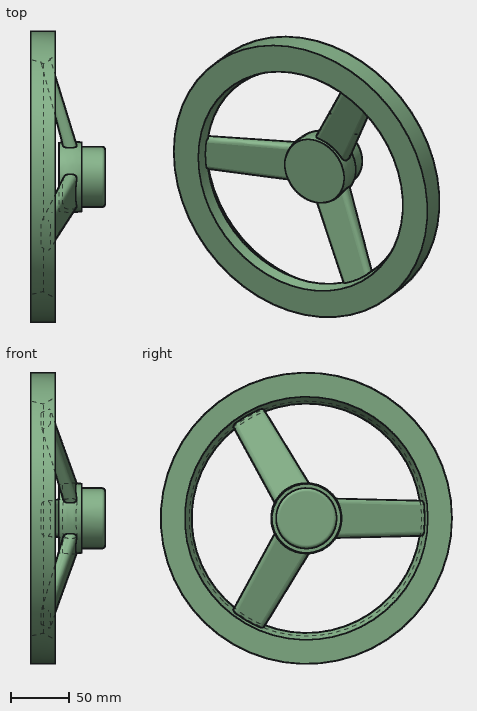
import cadquery as cq

rim_diameter = 250.0
rim_width = 21.2
rim_front_bore_diameter = 201.5
rim_rear_bore_diameter = 208.5
rim_throat_diameter = 196.5

hub_front = 24.2
hub_step = 44.0
hub_end = 64.0
hub_front_diameter = 58.5
hub_middle_diameter = 60.8
hub_rear_diameter = 59.2
boss_diameter = 52.0
boss_edge_radius = 3.0

spoke_count = 3
spoke_root_radius = 15.0
spoke_tip_radius = 105.0
spoke_root_center = 37.0
spoke_tip_center = 11.2
spoke_root_width = 34.5
spoke_tip_width = 30.0
spoke_root_thickness = 12.5
spoke_tip_thickness = 8.5
spoke_edge_radius = 4.0


def make_rim():
    """Ring whose bore narrows from both faces to the middle."""
    outer = rim_diameter / 2
    profile = [
        (0, rim_front_bore_diameter / 2),
        (0, outer),
        (rim_width, outer),
        (rim_width, rim_rear_bore_diameter / 2),
        (rim_width / 2, rim_throat_diameter / 2),
    ]
    return cq.Workplane("XY").polyline(profile).close().revolve(360, (0, 0, 0), (1, 0, 0))


def make_hub():
    """Slightly barrel-shaped hub with a smaller round-edged boss behind it."""
    hub_middle = (hub_front + hub_step) / 2
    profile = (
        cq.Workplane("XY")
        .moveTo(hub_front, 0)
        .lineTo(hub_front, hub_front_diameter / 2)
        .threePointArc((hub_middle, hub_middle_diameter / 2), (hub_step, hub_rear_diameter / 2))
        .lineTo(hub_step, boss_diameter / 2)
        .lineTo(hub_end, boss_diameter / 2)
        .lineTo(hub_end, 0)
        .close()
    )
    hub = profile.revolve(360, (0, 0, 0), (1, 0, 0))
    return hub.faces(">X").edges().fillet(boss_edge_radius)


def make_spoke():
    """Tapered, round-edged spoke along +Y, leaning forward to the rim."""
    root_plane = cq.Plane((spoke_root_center, spoke_root_radius, 0), (1, 0, 0), (0, 1, 0))
    return (
        cq.Workplane(root_plane)
        .rect(spoke_root_thickness, spoke_root_width)
        .workplane(offset=spoke_tip_radius - spoke_root_radius)
        .center(spoke_tip_center - spoke_root_center, 0)
        .rect(spoke_tip_thickness, spoke_tip_width)
        .loft(ruled=True)
        .edges("not(#Y)")
        .fillet(spoke_edge_radius)
    )


result = make_rim().union(make_hub())
spoke = make_spoke()
for index in range(spoke_count):
    angle = index * 360 / spoke_count
    result = result.union(spoke.rotate((0, 0, 0), (1, 0, 0), angle))